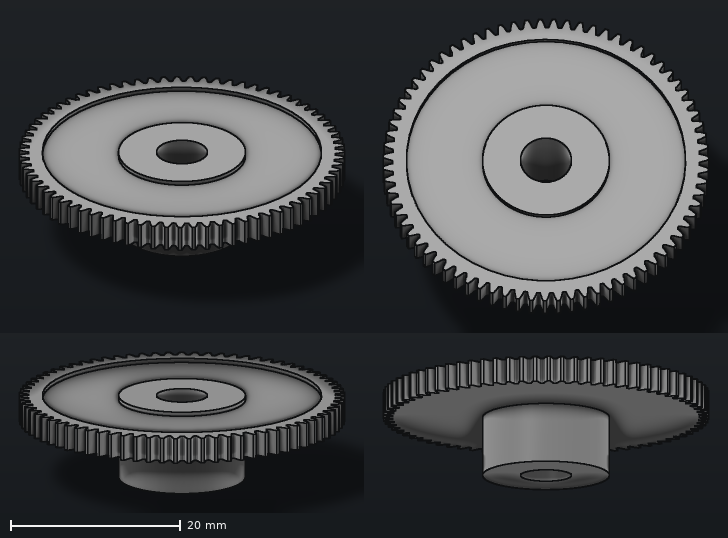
import cadquery as cq
import math

tip_diameter = 38.5
tooth_count = 75
pressure_angle = math.radians(20)
overall_height = 10.0
gear_thickness = 3.0
hub_diameter = 15.0
bore_diameter = 6.0
recess_diameter = 33.0
recess_depth = 0.5

addendum_factor = 1.0
dedendum_factor = 1.25
root_fillet_factor = 0.38

module = tip_diameter / (tooth_count + 2 * addendum_factor)
pitch_radius = module * tooth_count / 2
tip_radius = tip_diameter / 2
root_radius = pitch_radius - dedendum_factor * module
root_fillet_radius = root_fillet_factor * module
base_radius = pitch_radius * math.cos(pressure_angle)
tooth_pitch = 2 * math.pi / tooth_count
first_tooth_angle = -math.pi / 2

hub_length = overall_height - gear_thickness


def involute(angle):
    return math.tan(angle) - angle


def half_tooth_angle(radius):
    """Angle from the tooth centreline to its involute flank at a given radius."""
    flank_angle = math.acos(base_radius / radius)
    return tooth_pitch / 4 + involute(pressure_angle) - involute(flank_angle)


def polar(radius, angle):
    return (radius * math.cos(angle), radius * math.sin(angle))


def is_root_edge(edge):
    centre = edge.Center()
    return math.hypot(centre.x, centre.y) < pitch_radius


def make_toothed_disc():
    root_half = half_tooth_angle(root_radius)
    pitch_half = half_tooth_angle(pitch_radius)
    tip_half = half_tooth_angle(tip_radius)

    outline = cq.Workplane("XY").moveTo(*polar(root_radius, first_tooth_angle - root_half))
    for tooth in range(tooth_count):
        centre = first_tooth_angle + tooth * tooth_pitch
        next_centre = centre + tooth_pitch
        outline = (
            outline
            .threePointArc(polar(pitch_radius, centre - pitch_half), polar(tip_radius, centre - tip_half))
            .threePointArc(polar(tip_radius, centre), polar(tip_radius, centre + tip_half))
            .threePointArc(polar(pitch_radius, centre + pitch_half), polar(root_radius, centre + root_half))
            .threePointArc(
                polar(root_radius, centre + tooth_pitch / 2),
                polar(root_radius, next_centre - root_half),
            )
        )
    disc = outline.close().extrude(gear_thickness)

    root_edges = disc.edges("|Z").filter(is_root_edge)
    return root_edges.fillet(root_fillet_radius)


def make_recess():
    """Shallow ring in the upper face, leaving the toothed rim and a central boss."""
    return (
        cq.Workplane("XY", origin=(0, 0, gear_thickness))
        .circle(recess_diameter / 2)
        .circle(hub_diameter / 2)
        .extrude(-recess_depth)
    )


def make_hub():
    return cq.Workplane("XY").circle(hub_diameter / 2).extrude(-hub_length)


def make_bore():
    return (
        cq.Workplane("XY", origin=(0, 0, -hub_length))
        .circle(bore_diameter / 2)
        .extrude(overall_height)
    )


result = make_toothed_disc().cut(make_recess()).union(make_hub()).cut(make_bore())